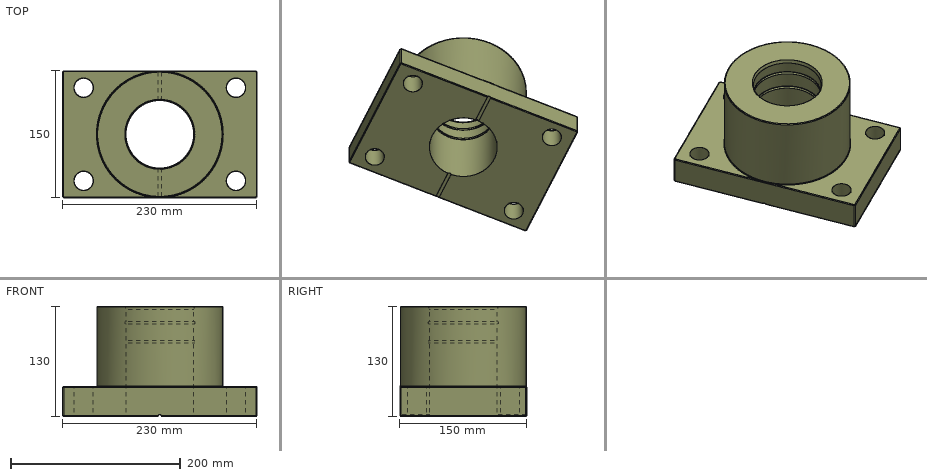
import cadquery as cq

PLATE_LENGTH = 230.0
PLATE_WIDTH = 150.0
PLATE_HEIGHT = 35.0
EDGE_CHAMFER = 1.0
CORNER_CHAMFER = 1.5

TOTAL_HEIGHT = 130.0
BOSS_RADIUS = 74.5
BOSS_CHAMFER = 1.0
ROOT_FLARE_WIDTH = 0.5
ROOT_FLARE_HEIGHT = 1.0
BOSS_BOTTOM = PLATE_HEIGHT - EDGE_CHAMFER

BORE_RADIUS = 40.0
LEAD_IN_WIDTH = 1.3
LEAD_IN_DEPTH = 4.0
BORE_GROOVE_RADIUS = 1.5
FIRST_GROOVE_FROM_TOP = 19.5
GROOVE_PITCH = 22.5
GROOVE_COUNT = 2

HOLE_DIAMETER = 22.5
HOLE_SPACING_X = 180.0
HOLE_SPACING_Y = 110.0

BOTTOM_GROOVE_RADIUS = 2.0


def make_plate():
    """Rectangular flange with its outer edges chamfered and four through holes."""
    plate = cq.Workplane("XY").box(
        PLATE_LENGTH, PLATE_WIDTH, PLATE_HEIGHT, centered=(True, True, False)
    )
    return (
        plate.edges("|Z")
        .chamfer(CORNER_CHAMFER)
        .faces("<Z or >Z")
        .edges()
        .chamfer(EDGE_CHAMFER)
        .faces(">Z")
        .workplane(origin=(0, 0, PLATE_HEIGHT))
        .rect(HOLE_SPACING_X, HOLE_SPACING_Y, forConstruction=True)
        .vertices()
        .hole(HOLE_DIAMETER)
    )


def make_boss():
    """Round boss with a chamfered rim and a small flare at its root, turned about Z."""
    return (
        cq.Workplane("XZ")
        .moveTo(0, BOSS_BOTTOM)
        .lineTo(BOSS_RADIUS + ROOT_FLARE_WIDTH, BOSS_BOTTOM)
        .lineTo(BOSS_RADIUS + ROOT_FLARE_WIDTH, PLATE_HEIGHT)
        .lineTo(BOSS_RADIUS, PLATE_HEIGHT + ROOT_FLARE_HEIGHT)
        .lineTo(BOSS_RADIUS, TOTAL_HEIGHT - BOSS_CHAMFER)
        .lineTo(BOSS_RADIUS - BOSS_CHAMFER, TOTAL_HEIGHT)
        .lineTo(0, TOTAL_HEIGHT)
        .close()
        .revolve(360, (0, 0), (0, 1))
    )


def make_bore():
    """Solid of the through bore with a tapered mouth at the top, turned about Z."""
    return (
        cq.Workplane("XZ")
        .lineTo(BORE_RADIUS, 0)
        .lineTo(BORE_RADIUS, TOTAL_HEIGHT - LEAD_IN_DEPTH)
        .lineTo(BORE_RADIUS + LEAD_IN_WIDTH, TOTAL_HEIGHT)
        .lineTo(0, TOTAL_HEIGHT)
        .close()
        .revolve(360, (0, 0), (0, 1))
    )


def make_bore_groove(height):
    """Torus that leaves a half-round ring groove in the bore wall at the given height."""
    return (
        cq.Workplane("XZ")
        .center(BORE_RADIUS, height)
        .circle(BORE_GROOVE_RADIUS)
        .revolve(360, (-BORE_RADIUS, 0), (-BORE_RADIUS, 1))
    )


def make_bottom_groove():
    """Round bar that leaves a half-round groove across the underside along Y."""
    return cq.Workplane("XZ").circle(BOTTOM_GROOVE_RADIUS).extrude(PLATE_WIDTH / 2, both=True)


result = make_plate().union(make_boss()).cut(make_bore())
for index in range(GROOVE_COUNT):
    groove_height = TOTAL_HEIGHT - FIRST_GROOVE_FROM_TOP - index * GROOVE_PITCH
    result = result.cut(make_bore_groove(groove_height))
result = result.cut(make_bottom_groove())